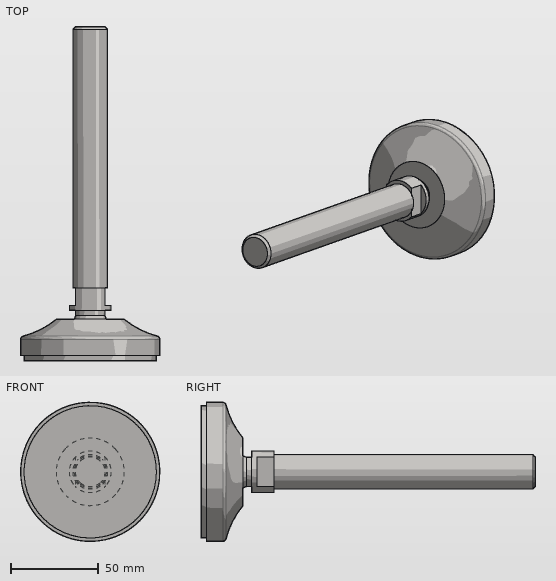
import cadquery as cq


sole_diameter = 76.0
pad_diameter = 80.0
pad_top_diameter = 39.0
sole_height = 3.0
flank_foot = 14.0
pad_top = 24.0
flank_radius = 50.0
rim_edge_radius = 2.0

neck_diameter = 17.0
neck_foot_diameter = 18.5
neck_foot_top = 26.0

collar_diameter = 24.0
collar_bottom = 29.0
flats_bottom = 32.0
collar_top = 42.0
across_flats = 17.0

stud_diameter = 20.0
stud_length = 150.0
stud_chamfer = 1.5


def cylinder(diameter, bottom, top):
    """Cylinder on the Y axis between two heights."""
    return cq.Workplane("XZ", origin=(0, bottom, 0)).circle(diameter / 2).extrude(bottom - top)


def make_pad():
    """Pad with a stepped sole, a rounded rim edge and a hollow flank."""
    pad = (
        cq.Workplane("XY")
        .lineTo(sole_diameter / 2, 0)
        .lineTo(sole_diameter / 2, sole_height)
        .lineTo(pad_diameter / 2, sole_height)
        .lineTo(pad_diameter / 2, flank_foot)
        .radiusArc((pad_top_diameter / 2, pad_top), flank_radius)
        .lineTo(0, pad_top)
        .close()
        .revolve(360, (0, 0, 0), (0, 1, 0))
    )
    rim_edge = cq.selectors.NearestToPointSelector((0, flank_foot, 0))
    return pad.edges("%CIRCLE").edges(rim_edge).fillet(rim_edge_radius)


def make_neck():
    """Neck that widens in a short cone where it meets the pad."""
    return (
        cq.Workplane("XY")
        .moveTo(0, pad_top)
        .lineTo(neck_foot_diameter / 2, pad_top)
        .lineTo(neck_diameter / 2, neck_foot_top)
        .lineTo(neck_diameter / 2, collar_bottom)
        .lineTo(0, collar_bottom)
        .close()
        .revolve(360, (0, 0, 0), (0, 1, 0))
    )


def make_collar():
    """Round collar cut back to two parallel flats facing -X and +X."""
    ring = cylinder(collar_diameter, collar_bottom, flats_bottom)
    flats_height = collar_top - flats_bottom
    flats_block = cq.Workplane("XY").box(across_flats, flats_height, collar_diameter)
    flats_block = flats_block.translate((0, flats_bottom + flats_height / 2, 0))
    flatted = cylinder(collar_diameter, flats_bottom, collar_top).intersect(flats_block)
    return ring.union(flatted)


def make_stud():
    """Plain stud with a chamfered free end."""
    stud = cylinder(stud_diameter, collar_top, collar_top + stud_length)
    return stud.faces(">Y").chamfer(stud_chamfer)


result = make_pad().union(make_neck()).union(make_collar()).union(make_stud())